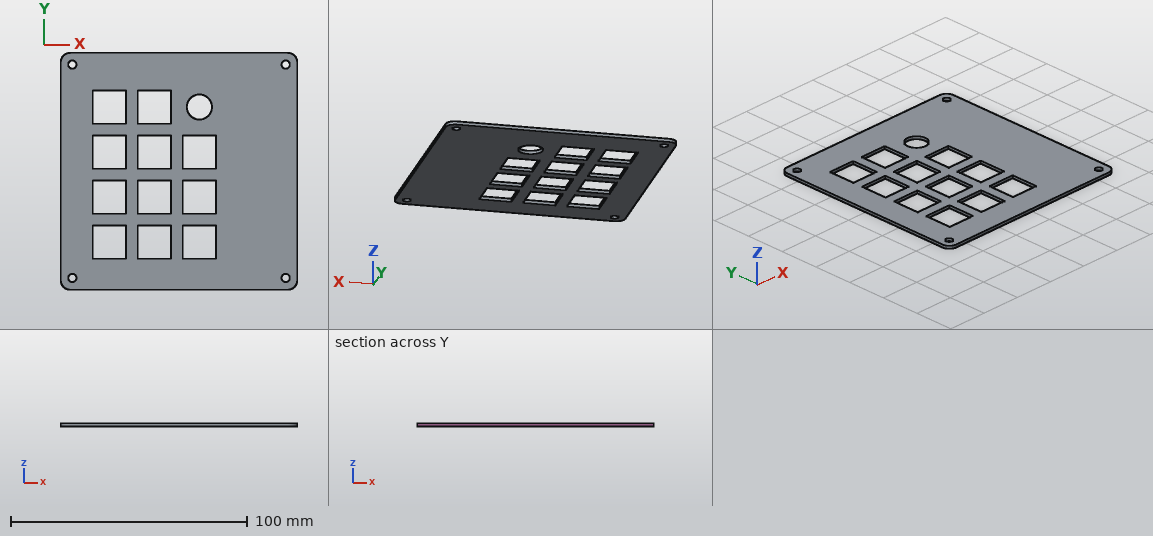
import cadquery as cq

plate_width = 100.0
plate_depth = 100.2
plate_thickness = 1.5
corner_radius = 4.0

mount_hole_diameter = 3.4
mount_hole_spacing = 90.2

key_size = 13.9
key_pitch = 19.0
key_columns = 3
key_rows = 4
first_key_x = -29.5
first_key_y = -30.0

knob_hole_diameter = 10.5
knob_position = (key_columns - 1, key_rows - 1)


def grid_point(column, row):
    """Centre of one position in the key grid."""
    return (first_key_x + column * key_pitch, first_key_y + row * key_pitch)


key_points = [
    grid_point(column, row)
    for column in range(key_columns)
    for row in range(key_rows)
    if (column, row) != knob_position
]

plate = (
    cq.Workplane("XY")
    .rect(plate_width, plate_depth)
    .extrude(plate_thickness)
    .edges("|Z")
    .fillet(corner_radius)
)

plate = (
    plate.faces(">Z")
    .workplane(origin=(0, 0, 0))
    .rect(mount_hole_spacing, mount_hole_spacing, forConstruction=True)
    .vertices()
    .hole(mount_hole_diameter)
)

plate = (
    plate.faces(">Z")
    .workplane(origin=(0, 0, 0))
    .pushPoints(key_points)
    .rect(key_size, key_size)
    .cutThruAll()
)

plate = (
    plate.faces(">Z")
    .workplane(origin=(0, 0, 0))
    .pushPoints([grid_point(*knob_position)])
    .hole(knob_hole_diameter)
)

result = plate